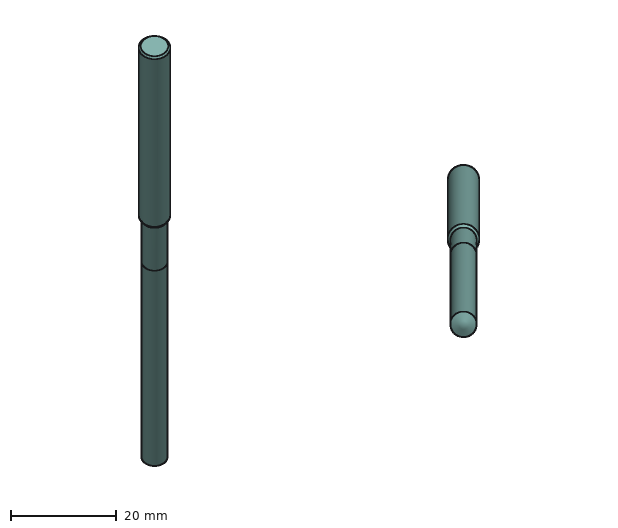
import math

import cadquery as cq

overall_length = 115.0
shank_diameter = 6.0
drill_diameter = 5.0
neck_diameter = drill_diameter

shank_length = 47.0
drill_length = 55.25

end_chamfer = 0.4
shoulder_half_angle = 30.0
point_angle = 140.0

shank_radius = shank_diameter / 2
neck_radius = neck_diameter / 2
drill_radius = drill_diameter / 2

shank_bottom = overall_length - shank_length
shoulder_height = (shank_radius - neck_radius) / math.tan(math.radians(shoulder_half_angle))
neck_top = shank_bottom - shoulder_height
point_height = drill_radius / math.tan(math.radians(point_angle / 2))


def make_shank():
    """Chamfered shank that tapers down to the neck carrying the drill."""
    return (
        cq.Workplane("YZ")
        .moveTo(0, drill_length)
        .lineTo(-neck_radius, drill_length)
        .lineTo(-neck_radius, neck_top)
        .lineTo(-shank_radius, shank_bottom)
        .lineTo(-shank_radius, overall_length - end_chamfer)
        .lineTo(end_chamfer - shank_radius, overall_length)
        .lineTo(0, overall_length)
        .close()
        .revolve(360, (0, 0), (0, 1))
    )


def make_drill():
    """Plain round cutting part with a conical point, butted against the neck."""
    return (
        cq.Workplane("XZ")
        .lineTo(-drill_radius, point_height)
        .lineTo(-drill_radius, drill_length)
        .lineTo(0, drill_length)
        .close()
        .revolve(360, (0, 0), (0, 1))
    )


shank = make_shank()
drill = make_drill()

result = cq.Compound.makeCompound([shank.val(), drill.val()])